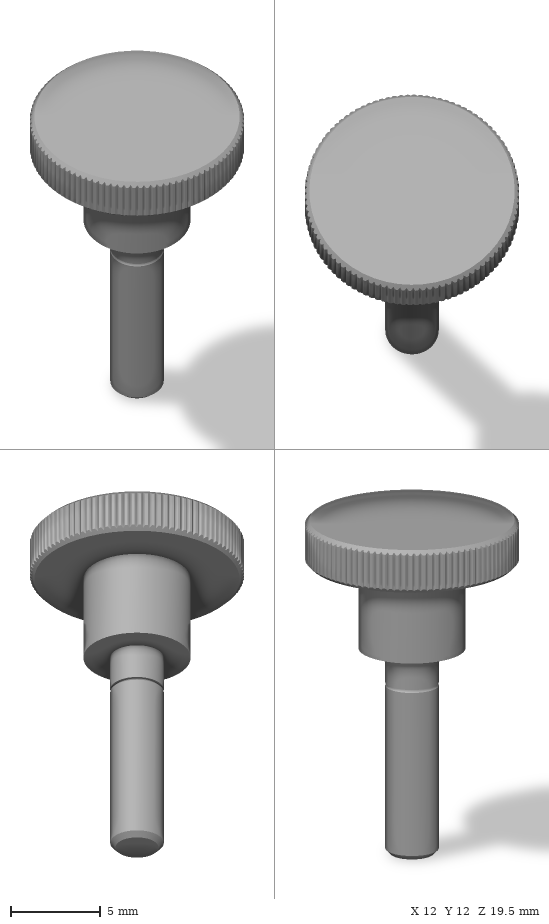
import cadquery as cq
import math

TOTAL_LENGTH = 19.5
HEAD_HEIGHT = 2.5
HUB_HEIGHT = 5.0
NECK_HEIGHT = 2.0

HEAD_DIAMETER = 12.0
HEAD_RADIUS = HEAD_DIAMETER / 2
HUB_RADIUS = HEAD_RADIUS / 2
SHANK_RADIUS = HEAD_RADIUS / 4

HEAD_CHAMFER = 0.25
TIP_CHAMFER = 0.3

UNDERCUT_SIZE = 0.18

KNURL_COUNT = 100
KNURL_DEPTH = 0.12

HEAD_BASE_Z = TOTAL_LENGTH - HEAD_HEIGHT
HUB_BASE_Z = HEAD_BASE_Z - HUB_HEIGHT
NECK_BASE_Z = HUB_BASE_Z - NECK_HEIGHT


def polar_point(radius, angle):
    return (radius * math.cos(angle), radius * math.sin(angle))


def knurl_outline():
    """Closed outline of the head: round crests separated by V-grooves."""
    pitch = 2 * math.pi / KNURL_COUNT
    half_groove = math.asin(KNURL_DEPTH / HEAD_RADIUS)
    valley_radius = HEAD_RADIUS - KNURL_DEPTH
    outline = cq.Workplane("XY").workplane(offset=HEAD_BASE_Z).moveTo(*polar_point(valley_radius, 0))
    for groove in range(KNURL_COUNT):
        valley = groove * pitch
        next_valley = valley + pitch
        crest_start = polar_point(HEAD_RADIUS, valley + half_groove)
        crest_middle = polar_point(HEAD_RADIUS, valley + pitch / 2)
        crest_end = polar_point(HEAD_RADIUS, next_valley - half_groove)
        outline = outline.lineTo(*crest_start)
        outline = outline.threePointArc(crest_middle, crest_end)
        if groove < KNURL_COUNT - 1:
            outline = outline.lineTo(*polar_point(valley_radius, next_valley))
    return outline.close()


def make_head():
    """Knurled disc with both rims chamfered."""
    knurled_disc = knurl_outline().extrude(HEAD_HEIGHT)
    chamfered_disc = (
        cq.Workplane("XY")
        .workplane(offset=HEAD_BASE_Z)
        .circle(HEAD_RADIUS)
        .extrude(HEAD_HEIGHT)
        .edges()
        .chamfer(HEAD_CHAMFER)
    )
    return knurled_disc.intersect(chamfered_disc)


def make_stem():
    """Hub, neck, undercut and chamfered shank revolved as one profile."""
    profile = [
        (0, 0),
        (SHANK_RADIUS - TIP_CHAMFER, 0),
        (SHANK_RADIUS, TIP_CHAMFER),
        (SHANK_RADIUS, NECK_BASE_Z - UNDERCUT_SIZE),
        (SHANK_RADIUS - UNDERCUT_SIZE, NECK_BASE_Z),
        (SHANK_RADIUS, NECK_BASE_Z),
        (SHANK_RADIUS, HUB_BASE_Z),
        (HUB_RADIUS, HUB_BASE_Z),
        (HUB_RADIUS, HEAD_BASE_Z),
        (0, HEAD_BASE_Z),
    ]
    return cq.Workplane("XZ").polyline(profile).close().revolve(360, (0, 0, 0), (0, 1, 0))


result = make_head().union(make_stem())